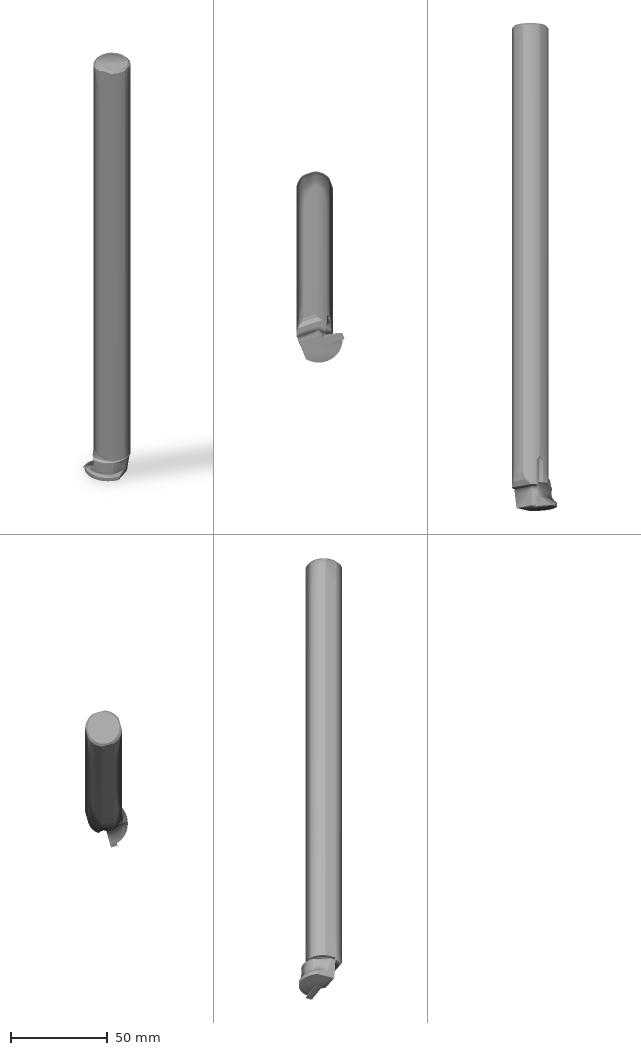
import cadquery as cq
import math

TOP_Z = 255.2
SHANK_RADIUS = 9.52
FLAT_DISTANCE = 9.0
TOP_CHAMFER = 1.3
SHANK_BOTTOM_Z = 12.8
BACK_BOTTOM_Z = 11.2

HEAD_AXIS_X = -2.3
HEAD_AXIS_Y = 0.5
HEAD_BACK_Y = 2.5
HEAD_REACH = 12.8
FOOT_RADIUS = 12.43
NECK_RADIUS = 11.2
COLLAR_SHOULDER_RADIUS = 10.0
COLLAR_TOP_RADIUS = 9.0
FOOT_BOTTOM_Z = 1.0
FOOT_TOP_Z = 3.0
FOOT_SLOPE_TOP_Z = 4.3
COLLAR_BOTTOM_Z = 11.5
COLLAR_SHOULDER_Z = 12.3
HEAD_TOP_Z = 15.5
HEEL_X = 7.5
HEAD_RIGHT_X = 9.0
TOE_X = -13.8
TOE_Z = 1.5
NECK_X = -5.5
NECK_Z = 8.7
NECK_TOP_X = -7.5
NECK_BOTTOM_X = -6.6
NECK_BOTTOM_Z = 6.0

HEEL_FLAT_X = 4.5

RAKE_Y = 0.3
INSERT_THICKNESS = 3.5
TIP_X = FLAT_DISTANCE - 24.2
INSERT_HEEL_X = -2.8
INSERT_HEEL_Z = 0.8

GULLET_WIDTH = 4.3
GULLET_DEPTH = 1.3
GULLET_WALL_RUN = 1.8
GULLET_SHOULDER_Z = 24.0
GULLET_TOP_Z = 27.0

RELIEF_START_X = -5.0
RELIEF_END_X = -3.0

BEVEL_START_Z = 17.5
BEVEL_MIDDLE_Z = 13.8
BEVEL_MIDDLE_Y = 8.5
BEVEL_END_Y = 7.0


def extrude_along_y(outline, back_y, front_y):
    """Extrude an XZ outline from back_y toward -Y until front_y."""
    return outline.extrude(back_y - front_y).translate((0, back_y, 0))


def make_shank():
    length = TOP_Z - BACK_BOTTOM_Z
    bar = cq.Workplane("XY").workplane(offset=BACK_BOTTOM_Z).circle(SHANK_RADIUS).extrude(length)
    bar = bar.faces(">Z").edges().chamfer(TOP_CHAMFER)
    square = cq.Workplane("XY").workplane(offset=BACK_BOTTOM_Z)
    square = square.rect(2 * FLAT_DISTANCE, 2 * FLAT_DISTANCE).extrude(length)
    shank = bar.intersect(square)

    front_step = cq.Workplane("XY").box(
        2 * SHANK_RADIUS, 2 * SHANK_RADIUS, SHANK_BOTTOM_Z - BACK_BOTTOM_Z, centered=(True, False, False)
    ).translate((0, HEAD_BACK_Y - 2 * SHANK_RADIUS, BACK_BOTTOM_Z))
    return shank.cut(front_step)


def make_rear_bevel():
    return (
        cq.Workplane("YZ")
        .moveTo(FLAT_DISTANCE, BEVEL_START_Z)
        .lineTo(BEVEL_MIDDLE_Y, BEVEL_MIDDLE_Z)
        .lineTo(BEVEL_END_Y, BACK_BOTTOM_Z)
        .lineTo(SHANK_RADIUS, BACK_BOTTOM_Z)
        .lineTo(SHANK_RADIUS, BEVEL_START_Z)
        .close()
        .extrude(SHANK_RADIUS, both=True)
    )


def make_gullet():
    """Pointed slot with a flat floor and one slanted wall beside the cutting face."""
    far_y = RAKE_Y + GULLET_WIDTH
    floor_x = -FLAT_DISTANCE + GULLET_DEPTH
    outline = (
        cq.Workplane("YZ")
        .moveTo(RAKE_Y, BACK_BOTTOM_Z)
        .lineTo(far_y, BACK_BOTTOM_Z)
        .lineTo(far_y, GULLET_SHOULDER_Z)
        .lineTo(RAKE_Y + GULLET_WIDTH / 2, GULLET_TOP_Z)
        .lineTo(RAKE_Y, GULLET_SHOULDER_Z)
        .close()
        .extrude(-2 * SHANK_RADIUS)
    )
    section = (
        cq.Workplane("XY")
        .workplane(offset=BACK_BOTTOM_Z)
        .moveTo(-SHANK_RADIUS, RAKE_Y)
        .lineTo(-FLAT_DISTANCE, RAKE_Y)
        .lineTo(floor_x, RAKE_Y + GULLET_WALL_RUN)
        .lineTo(floor_x, far_y)
        .lineTo(-SHANK_RADIUS, far_y)
        .close()
        .extrude(GULLET_TOP_Z - BACK_BOTTOM_Z)
    )
    return outline.intersect(section)


def make_head_envelope():
    """Turned solid with a wide foot, a straight neck and a conical collar."""
    return (
        cq.Workplane("XZ")
        .moveTo(0, 0)
        .lineTo(FOOT_RADIUS, 0)
        .lineTo(FOOT_RADIUS, FOOT_TOP_Z)
        .lineTo(NECK_RADIUS, FOOT_SLOPE_TOP_Z)
        .lineTo(NECK_RADIUS, COLLAR_BOTTOM_Z)
        .lineTo(COLLAR_SHOULDER_RADIUS, COLLAR_SHOULDER_Z)
        .lineTo(COLLAR_TOP_RADIUS, HEAD_TOP_Z)
        .lineTo(0, HEAD_TOP_Z)
        .close()
        .revolve(360, (0, 0, 0), (0, 1, 0))
        .translate((HEAD_AXIS_X, HEAD_AXIS_Y, 0))
    )


def make_heel_flat():
    """Cutter that planes a flat across the right front corner of the neck."""
    offset_x = HEEL_FLAT_X - HEAD_AXIS_X
    start_y = HEAD_AXIS_Y - math.sqrt(NECK_RADIUS**2 - offset_x**2)
    return (
        cq.Workplane("XY")
        .workplane(offset=FOOT_SLOPE_TOP_Z)
        .moveTo(HEEL_FLAT_X, start_y)
        .lineTo(HEAD_RIGHT_X, HEAD_AXIS_Y)
        .lineTo(HEAD_RIGHT_X, start_y)
        .close()
        .extrude(COLLAR_BOTTOM_Z - FOOT_SLOPE_TOP_Z)
    )


def make_head():
    outline = (
        cq.Workplane("XZ")
        .moveTo(TOE_X, FOOT_BOTTOM_Z)
        .lineTo(HEEL_X, FOOT_BOTTOM_Z)
        .lineTo(HEAD_RIGHT_X, COLLAR_BOTTOM_Z)
        .lineTo(HEAD_RIGHT_X, HEAD_TOP_Z)
        .lineTo(NECK_TOP_X, HEAD_TOP_Z)
        .lineTo(NECK_TOP_X, SHANK_BOTTOM_Z)
        .threePointArc((NECK_X, NECK_Z), (NECK_BOTTOM_X, NECK_BOTTOM_Z))
        .lineTo(TOE_X, TOE_Z)
        .close()
    )
    head = extrude_along_y(outline, HEAD_BACK_Y, -HEAD_REACH)
    return head.intersect(make_head_envelope()).cut(make_heel_flat())


def make_insert():
    outline = cq.Workplane("XZ").polyline(
        [(TIP_X, 0), (INSERT_HEEL_X, INSERT_HEEL_Z), (NECK_BOTTOM_X, NECK_BOTTOM_Z)]
    ).close()
    return extrude_along_y(outline, RAKE_Y, RAKE_Y - INSERT_THICKNESS)


def make_chip_relief():
    """Clears the head behind the cutting face, up to a slanted wall."""
    return (
        cq.Workplane("XY")
        .moveTo(TIP_X, RAKE_Y)
        .lineTo(RELIEF_START_X, RAKE_Y)
        .lineTo(RELIEF_END_X, HEAD_BACK_Y)
        .lineTo(TIP_X, HEAD_BACK_Y)
        .close()
        .extrude(BACK_BOTTOM_Z)
    )


def make_bar():
    shank = make_shank().cut(make_rear_bevel()).cut(make_gullet())
    head = make_head().cut(make_chip_relief())
    return shank.union(head).cut(make_insert())


bar = make_bar()
insert = make_insert()
result = cq.Compound.makeCompound([bar.solids().val(), insert.val()])